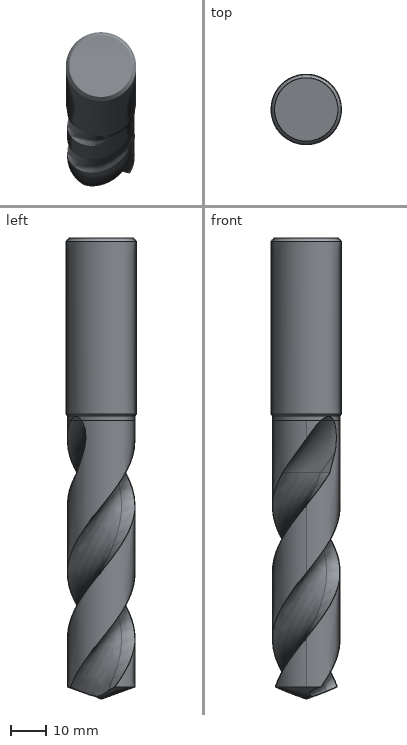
import cadquery as cq
import math

total_length = 131.0
shank_diameter = 20.0
shank_length = 50.0
shank_top_chamfer = 1.0
cutter_diameter = 19.2
point_angle = 140.0
shoulder_height = 0.6
split_height = 79.1

flute_count = 2
helix_lead = 75.4
flute_end_height = 64.3
flute_facing = -90.0
flute_half_angle = 44.0
flute_bottom_radius = 6.35
rake_inner_radius = 5.8
runout_axis_distance = 50.0
runout_slope = 0.72
runout_turn = 45.0
flute_clearance = 3.0

shank_radius = shank_diameter / 2
cutter_radius = cutter_diameter / 2
flute_outer_reach = shank_radius + flute_clearance
shank_bottom = total_length - shank_length
point_height = cutter_radius / math.tan(math.radians(point_angle / 2))


def flute_section(turn, height):
    """U-shaped slot section of one flute, facing flute_facing + turn degrees."""
    rake_turn = flute_facing + flute_half_angle + turn
    slot_width = 2 * flute_bottom_radius
    return (
        cq.Workplane("XY", origin=(0, 0, height))
        .transformed(rotate=(0, 0, rake_turn))
        .moveTo(flute_outer_reach, 0)
        .lineTo(rake_inner_radius, 0)
        .threePointArc(
            (rake_inner_radius - flute_bottom_radius, -flute_bottom_radius),
            (rake_inner_radius, -slot_width),
        )
        .lineTo(flute_outer_reach, -slot_width)
        .close()
    )


def helical_flute():
    start_height = -flute_clearance
    length = flute_end_height - start_height
    twist = 360 * length / helix_lead
    return flute_section(-twist, start_height).twistExtrude(length, twist)


def flute_runout():
    """The flute section turned about a tilted axis, so that it climbs out through the surface."""
    section = flute_section(0, flute_end_height).val()
    axis_start = cq.Vector(0, -runout_axis_distance, flute_end_height)
    axis_end = axis_start + cq.Vector(1, 0, -runout_slope)
    return cq.Workplane(cq.Solid.revolve(section, [], runout_turn, axis_start, axis_end))


def cut_flutes(body):
    for index in range(flute_count):
        turn = index * 360 / flute_count
        for tool in (helical_flute(), flute_runout()):
            body = body.cut(tool.rotate((0, 0, 0), (0, 0, 1), turn))
    return body


def turned(profile):
    """Solid of revolution about Z, with its seam on the -Y side."""
    return profile.close().revolve(360, (0, 0), (0, 1)).rotate((0, 0, 0), (0, 0, 1), -90)


def make_cutter():
    profile = (
        cq.Workplane("XZ")
        .moveTo(0, 0)
        .lineTo(cutter_radius, point_height)
        .lineTo(cutter_radius, split_height)
        .lineTo(0, split_height)
    )
    return cut_flutes(turned(profile))


def make_shank():
    profile = (
        cq.Workplane("XZ")
        .moveTo(0, split_height)
        .lineTo(cutter_radius, split_height)
        .lineTo(cutter_radius, shank_bottom - shoulder_height)
        .lineTo(shank_radius, shank_bottom)
        .lineTo(shank_radius, total_length - shank_top_chamfer)
        .lineTo(shank_radius - shank_top_chamfer, total_length)
        .lineTo(0, total_length)
    )
    return cut_flutes(turned(profile))


cutter = make_cutter()
shank = make_shank()

result = cq.Compound.makeCompound([cutter.val(), shank.val()])